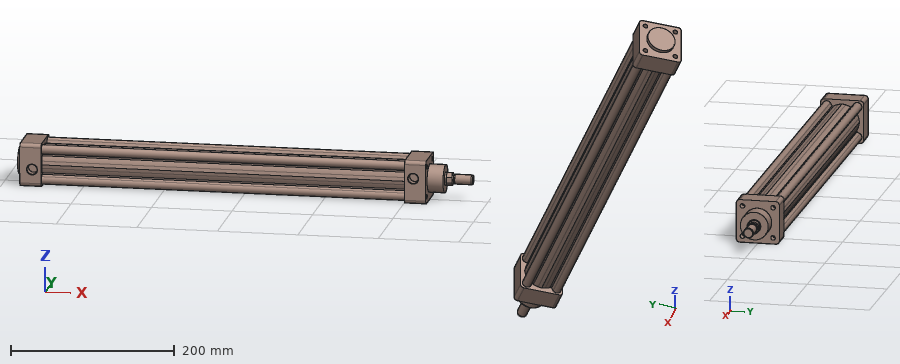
import cadquery as cq
import math


total_length = 563.0
pilot_length = 4.5
rear_cap_end = 31.0
front_cap_start = 482.5
front_cap_end = 509.0
boss_end = 528.5
neck_start = 531.0
shoulder_x = 537.5
relief_start = 539.5
relief_end = 541.0

cap_width = 54.0
corner_radius = 4.5
boss_diameter = 35.0
screw_diameter = 5.5
screw_depth = 11.0
port_diameter = 12.5
port_chamfer = 0.5
port_depth = 11.0
port_offset = 5.0
rear_port_x = 19.5
front_port_x = 493.0

corner_spacing = 38.5
lobe_radius = 5.5
lobe_edge = 14.5
barrel_radius = 21.5
ridge_half_width = 4.5
arc_half_width = 10.5
groove_half_width = (arc_half_width + lobe_edge) / 2

rod_diameter = 16.5
neck_diameter = 16.0
across_flats = 14.0
thread_diameter = 12.5
relief_diameter = 11.0
thread_chamfer_length = 1.5
thread_chamfer_depth = 0.5


def plane_at(x):
    """YZ plane at a station along the axis, facing +X."""
    return cq.Workplane("YZ", origin=(x, 0, 0))


def disc(x_start, x_end, diameter):
    """Round section of the cylinder between two stations."""
    return plane_at(x_start).circle(diameter / 2).extrude(x_end - x_start)


def make_cap_block(x_start, x_end):
    """Square block with its four long edges rounded."""
    block = plane_at(x_start).rect(cap_width, cap_width).extrude(x_end - x_start)
    return block.edges("|X").fillet(corner_radius)


def make_screw_holes(x_start):
    """Four blind mounting holes, running toward +X from x_start."""
    corners = plane_at(x_start).rect(corner_spacing, corner_spacing, forConstruction=True)
    return corners.vertices().circle(screw_diameter / 2).extrude(screw_depth)


def make_port(x, z):
    """Blind air port with a chamfered mouth, sunk into the -Y side of a cap."""
    side = cq.Workplane("XZ", origin=(x, -cap_width / 2, z))
    bore = side.circle(port_diameter / 2).extrude(-port_depth)
    mouth = side.circle(port_diameter / 2 + port_chamfer).extrude(-port_chamfer, taper=45)
    return bore.union(mouth)


def make_rear_cap():
    cap = make_cap_block(pilot_length, rear_cap_end).union(disc(0, pilot_length, boss_diameter))
    cap = cap.cut(make_screw_holes(pilot_length))
    return cap.cut(make_port(rear_port_x, -port_offset))


def make_front_cap():
    cap = make_cap_block(front_cap_start, front_cap_end)
    cap = cap.union(disc(front_cap_end, boss_end, boss_diameter))
    cap = cap.cut(make_screw_holes(front_cap_end - screw_depth))
    cap = cap.cut(make_port(front_port_x, port_offset))
    return cap.cut(disc(front_cap_start, boss_end, rod_diameter))


def on_circle(u):
    """Height of the barrel circle at a sideways distance u."""
    return math.sqrt(barrel_radius**2 - u**2)


def turned(point, quarter_turns):
    """Turn a profile point clockwise about the axis by quarter turns."""
    u, v = point
    for _ in range(quarter_turns):
        u, v = v, -u
    return u, v


def make_barrel():
    """Extrusion with a low ridge on each side and a round lobe at each corner."""
    lobe_centre = corner_spacing / 2
    lobe_end = lobe_centre + math.sqrt(lobe_radius**2 - (lobe_centre - lobe_edge) ** 2)
    lobe_tip = lobe_centre + lobe_radius * math.sqrt(0.5)
    arc_middle = (ridge_half_width + arc_half_width) / 2
    groove_floor = on_circle(arc_half_width)
    ridge_peak = barrel_radius**2 / on_circle(ridge_half_width)

    profile = plane_at(rear_cap_end).moveTo(-lobe_edge, lobe_end)
    for side in range(4):
        profile = (
            profile.lineTo(*turned((-groove_half_width, groove_floor), side))
            .lineTo(*turned((-arc_half_width, groove_floor), side))
            .threePointArc(
                turned((-arc_middle, on_circle(arc_middle)), side),
                turned((-ridge_half_width, on_circle(ridge_half_width)), side),
            )
            .lineTo(*turned((0, ridge_peak), side))
            .lineTo(*turned((ridge_half_width, on_circle(ridge_half_width)), side))
            .threePointArc(
                turned((arc_middle, on_circle(arc_middle)), side),
                turned((arc_half_width, groove_floor), side),
            )
            .lineTo(*turned((groove_half_width, groove_floor), side))
            .lineTo(*turned((lobe_edge, lobe_end), side))
            .threePointArc(turned((lobe_tip, lobe_tip), side), turned((lobe_end, lobe_edge), side))
        )
    return profile.close().extrude(front_cap_start - rear_cap_end)


def make_rod():
    """Rod with a necked wrench section, flat on -Y and +Y, a relief groove and a threaded end."""
    neck = disc(neck_start, shoulder_x, neck_diameter)
    flats = plane_at(neck_start).rect(across_flats, neck_diameter).extrude(shoulder_x - neck_start)

    thread = disc(shoulder_x, total_length, thread_diameter)
    thread = thread.faces(">X").edges().chamfer(thread_chamfer_length, thread_chamfer_depth)
    relief = disc(relief_start, relief_end, thread_diameter)
    relief = relief.cut(disc(relief_start, relief_end, relief_diameter))

    rod = disc(front_cap_start, neck_start, rod_diameter).union(neck.intersect(flats))
    return rod.union(thread.cut(relief))


rear_cap = make_rear_cap()
barrel = make_barrel()
front_cap = make_front_cap()
rod = make_rod()

bodies = [rear_cap, barrel, front_cap, rod]
result = cq.Compound.makeCompound([body.solids().val() for body in bodies])